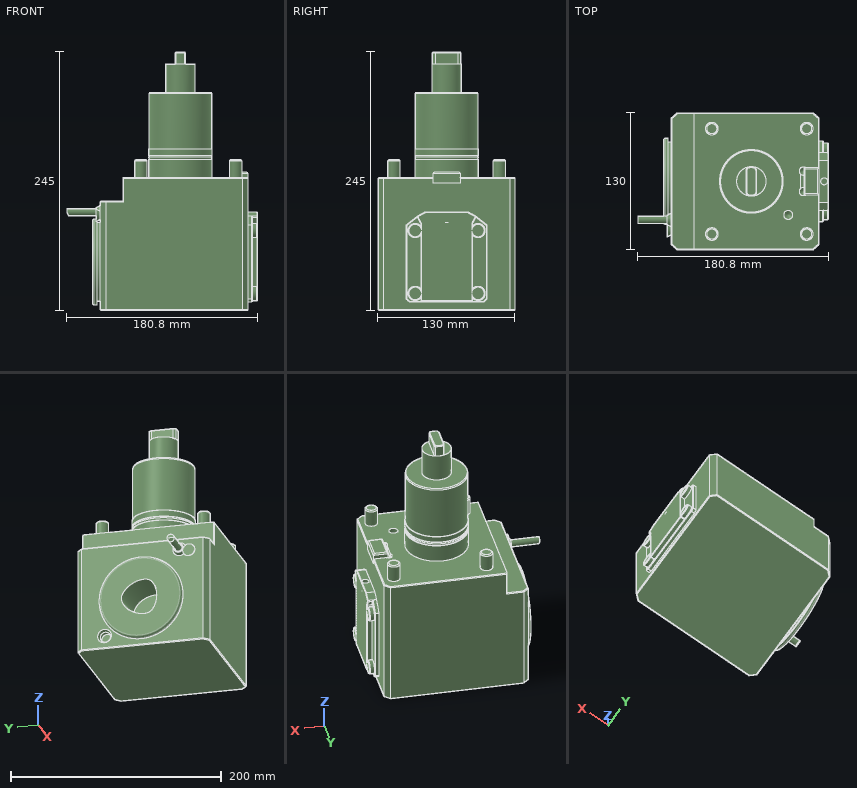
import cadquery as cq
import math


BODY_LEFT = -76.0
BODY_RIGHT = 64.3
BODY_WIDTH = 130.0
BODY_HEIGHT = 126.0
STEP_X = -54.5
STEP_Z = -22.3
CORNER_CHAMFER_X = 5.5
CORNER_CHAMFER_Y = 5.0
EDGE_CHAMFER = 0.8
TOLERANCE = 0.001

COLLAR_DIA = 60.4
COLLAR_TOP = 17.2
SEAL_RELIEF = 0.6
SEAL_CREST = 19.4
SEAL_TOP = 21.0
GUIDE_DIA = 60.4
GUIDE_TOP = 27.3
SHANK_DIA = 59.6
SHANK_TOP = 81.0
SHANK_CHAMFER_HEIGHT = 1.4
SHANK_CHAMFER_WIDTH = 0.6
SHAFT_DIA = 28.0
SHAFT_TOP = 107.8
TANG_WIDTH = 10.0
TANG_LENGTH = 27.6
TANG_FLAT_LENGTH = 21.4
TANG_END_WIDTH = 8.0
TANG_TOP = 119.0
TANG_CHAMFER = 0.8

PIN_DIA = 12.0
PIN_HEIGHT = 17.2
PIN_CHAMFER = 1.2
PIN_CENTER_X = 7.5
PIN_HALF_PITCH_X = 45.0
PIN_HALF_PITCH_Y = 50.0

TOP_HOLE_DIA = 8.5
TOP_HOLE_X = 35.0
TOP_HOLE_Y = -31.9
TOP_HOLE_DEPTH = 10.0
DRILL_POINT_ANGLE = 118.0

KEY_LEFT = 49.8
KEY_RIGHT = 64.2
KEY_WIDTH = 26.0
KEY_HEIGHT = 5.4
KEY_CHAMFER = 1.3
KEY_POCKET_LEFT = 46.4
KEY_POCKET_DEPTH = 5.0
KEY_RELIEF_DIA = 7.9
KEY_RELIEF_X = 49.4
KEY_RELIEF_Y = 9.7

TOOL_AXIS_Z = -80.0
HUB_DIA = 75.0
FLANGE_DIA = 82.0
FLANGE_BACK = -79.0
FLANGE_FACE = -83.3
FLANGE_ROUND = 2.0
BORE_MEAN_RADIUS = 17.4
BORE_LOBE = 1.2
BORE_DEPTH = 40.0
BORE_TAPER = 1 / 30
BORE_POINTS = 48

NOZZLE_Y = -36.6
NOZZLE_Z = -32.8
NOZZLE_BASE_DIA = 13.0
NOZZLE_TIP_DIA = 9.0
HEAD_FACE = -79.8
TUBE_DIA = 7.0
TUBE_END = -107.7
TUBE_BEVEL = 1.8
LOCK_SCREW_Y = -46.8
LOCK_SCREW_Z = -35.8
LOCK_SCREW_DIA = 12.0
LOCK_SCREW_NECK_DIA = 8.0
SINK_HOLE_Y = 37.2
SINK_HOLE_Z = -113.5
SINK_RIM_DIA = 13.5
SINK_BORE_DIA = 10.0
SINK_DEPTH = 3.0
SINK_BORE_DEPTH = 6.0

COVER_THICKNESS = 4.0
COVER_EDGE_CHAMFER = 0.6
COVER_WIDTH = 76.8
COVER_TOP = -36.4
COVER_BOTTOM = -118.0
COVER_TOP_CORNER_Y = 11.0
COVER_TOP_CORNER_Z = 8.6
COVER_BOTTOM_CORNER = 3.0
BLOCK_FACE = 73.1
BLOCK_TOP = -32.4
BLOCK_TOP_WIDTH = 40.0
BLOCK_SHOULDER_WIDTH = 55.0
BLOCK_SHOULDER_Z = -36.4
BLOCK_UNDERCUT_Z = -38.0
BLOCK_WAIST_WIDTH = 49.0
BLOCK_WAIST_Z = -43.5
BLOCK_BOTTOM = -117.0
BLOCK_HOLE_DIA = 6.6
BLOCK_HOLE_X = 69.1
BLOCK_HOLE_DEPTH = 10.0
COVER_SCREW_DIA = 13.5
COVER_SCREW_PITCH = 59.6
COVER_SCREW_CHAMFER = 0.8


def x_disc(start, end, diameter, y, z, end_diameter=None):
    """Round bar or cone along X from start to end."""
    end_diameter = diameter if end_diameter is None else end_diameter
    profile = [(start, 0), (start, diameter / 2), (end, end_diameter / 2), (end, 0)]
    bar = cq.Workplane("XY").polyline(profile).close().revolve(360, (0, 0, 0), (1, 0, 0))
    return bar.translate((0, y, z))


class OuterEdges(cq.Selector):
    """Edges around the top, ledge and underside, and the step uprights; not the step edges along Y."""

    def filter(self, edges):
        return [edge for edge in edges if self.is_rim(edge.Center())]

    def is_rim(self, center):
        on_step = abs(center.x - STEP_X) < TOLERANCE
        if on_step:
            return abs(center.y) > TOLERANCE
        return any(abs(center.z - level) < TOLERANCE for level in (0, STEP_Z, -BODY_HEIGHT))


def make_housing():
    outline = [
        (BODY_LEFT, -BODY_HEIGHT),
        (BODY_LEFT, STEP_Z),
        (STEP_X, STEP_Z),
        (STEP_X, 0),
        (BODY_RIGHT, 0),
        (BODY_RIGHT, -BODY_HEIGHT),
    ]
    half_width = BODY_WIDTH / 2
    stepped = cq.Workplane("XZ").polyline(outline).close().extrude(half_width, both=True)
    plan = cq.Workplane("XY").workplane(offset=-BODY_HEIGHT)
    left_corner = BODY_LEFT + CORNER_CHAMFER_X
    right_corner = BODY_RIGHT - CORNER_CHAMFER_X
    corner_y = half_width - CORNER_CHAMFER_Y
    plan = plan.polyline([
        (left_corner, -half_width),
        (right_corner, -half_width),
        (BODY_RIGHT, -corner_y),
        (BODY_RIGHT, corner_y),
        (right_corner, half_width),
        (left_corner, half_width),
        (BODY_LEFT, corner_y),
        (BODY_LEFT, -corner_y),
    ]).close().extrude(BODY_HEIGHT)
    housing = stepped.intersect(plan)
    return housing.edges(OuterEdges()).chamfer(EDGE_CHAMFER)


def make_spindle():
    collar_r = COLLAR_DIA / 2
    guide_r = GUIDE_DIA / 2
    shank_r = SHANK_DIA / 2
    seal_r = guide_r - SEAL_RELIEF
    return (
        cq.Workplane("XZ")
        .moveTo(0, 0)
        .lineTo(collar_r, 0)
        .lineTo(collar_r, COLLAR_TOP)
        .lineTo(seal_r, COLLAR_TOP)
        .lineTo(guide_r, SEAL_CREST)
        .lineTo(seal_r, SEAL_TOP)
        .lineTo(guide_r, SEAL_TOP)
        .lineTo(guide_r, GUIDE_TOP)
        .lineTo(shank_r, GUIDE_TOP)
        .lineTo(shank_r, SHANK_TOP - SHANK_CHAMFER_HEIGHT)
        .lineTo(shank_r - SHANK_CHAMFER_WIDTH, SHANK_TOP)
        .lineTo(SHAFT_DIA / 2, SHANK_TOP)
        .lineTo(SHAFT_DIA / 2, SHAFT_TOP)
        .lineTo(0, SHAFT_TOP)
        .close()
        .revolve(360, (0, 0, 0), (0, 1, 0))
    )


def make_tang():
    """Drive tang with bevelled corners and ends rounded about the spindle axis."""
    side = TANG_WIDTH / 2
    flat_end = TANG_FLAT_LENGTH / 2
    end_side = TANG_END_WIDTH / 2
    crown = TANG_LENGTH / 2
    round_start = math.sqrt(crown**2 - end_side**2)
    tang = (
        cq.Workplane("XY")
        .workplane(offset=SHAFT_TOP)
        .moveTo(side, -flat_end)
        .lineTo(side, flat_end)
        .lineTo(end_side, round_start)
        .threePointArc((0, crown), (-end_side, round_start))
        .lineTo(-side, flat_end)
        .lineTo(-side, -flat_end)
        .lineTo(-end_side, -round_start)
        .threePointArc((0, -crown), (end_side, -round_start))
        .close()
        .extrude(TANG_TOP - SHAFT_TOP)
    )
    return tang.faces(">Z").chamfer(TANG_CHAMFER)


def make_pins():
    pins = (
        cq.Workplane("XY")
        .center(PIN_CENTER_X, 0)
        .rect(2 * PIN_HALF_PITCH_X, 2 * PIN_HALF_PITCH_Y, forConstruction=True)
        .vertices()
        .circle(PIN_DIA / 2)
        .extrude(PIN_HEIGHT)
    )
    return pins.faces(">Z").chamfer(PIN_CHAMFER)


def drill(diameter, depth, x, y):
    """Blind drilled hole in the top face with a conical bottom."""
    radius = diameter / 2
    tip = radius / math.tan(math.radians(DRILL_POINT_ANGLE / 2))
    profile = [(0, 0), (radius, 0), (radius, -depth), (0, -depth - tip)]
    cutter = cq.Workplane("XZ").polyline(profile).close().revolve(360, (0, 0, 0), (0, 1, 0))
    return cutter.translate((x, y, 0))


def cut_key_pocket(body):
    length = BODY_RIGHT - KEY_POCKET_LEFT
    pocket = cq.Workplane("XY").box(length, KEY_WIDTH, KEY_POCKET_DEPTH, centered=(False, True, False))
    body = body.cut(pocket.translate((KEY_POCKET_LEFT, 0, -KEY_POCKET_DEPTH)))
    for side in (-1, 1):
        body = body.cut(drill(KEY_RELIEF_DIA, KEY_POCKET_DEPTH, KEY_RELIEF_X, side * KEY_RELIEF_Y))
    return body


def make_key():
    height = KEY_POCKET_DEPTH + KEY_HEIGHT
    key = cq.Workplane("XY").box(KEY_RIGHT - KEY_LEFT, KEY_WIDTH, height, centered=(False, True, False))
    key = key.faces(">Z").chamfer(KEY_CHAMFER)
    return key.translate((KEY_LEFT, 0, -KEY_POCKET_DEPTH))


def bore_section(x, mean_radius):
    """Constant-width three-lobed outline in the plane at x, one lobe toward +Y."""
    points = []
    for i in range(BORE_POINTS):
        angle = 2 * math.pi * i / BORE_POINTS
        reach = mean_radius + BORE_LOBE * math.cos(3 * angle)
        turn = 3 * BORE_LOBE * math.sin(3 * angle)
        y = reach * math.cos(angle) + turn * math.sin(angle)
        z = reach * math.sin(angle) - turn * math.cos(angle)
        points.append(cq.Vector(x, y, TOOL_AXIS_Z + z))
    return cq.Wire.assembleEdges([cq.Edge.makeSpline(points, periodic=True)])


def make_bore():
    mouth = bore_section(FLANGE_FACE, BORE_MEAN_RADIUS)
    end = bore_section(FLANGE_FACE + BORE_DEPTH, BORE_MEAN_RADIUS - BORE_DEPTH * BORE_TAPER)
    return cq.Workplane(cq.Solid.makeLoft([mouth, end]))


def make_flange():
    hub = x_disc(FLANGE_BACK, BODY_LEFT, HUB_DIA, 0, TOOL_AXIS_Z)
    disc = x_disc(FLANGE_FACE, FLANGE_BACK, FLANGE_DIA, 0, TOOL_AXIS_Z)
    return hub.union(disc.faces("<X").edges().fillet(FLANGE_ROUND))


def make_coolant_tube():
    tube = x_disc(TUBE_END, HEAD_FACE, TUBE_DIA, NOZZLE_Y, NOZZLE_Z)
    radius = TUBE_DIA / 2
    bevel = (
        cq.Workplane("XZ")
        .polyline([(TUBE_END, 0), (TUBE_END, -radius), (TUBE_END + TUBE_BEVEL, -radius)])
        .close()
        .extrude(radius, both=True)
        .translate((0, NOZZLE_Y, NOZZLE_Z))
    )
    base = x_disc(HEAD_FACE, BODY_LEFT, NOZZLE_TIP_DIA, NOZZLE_Y, NOZZLE_Z, NOZZLE_BASE_DIA)
    return tube.cut(bevel).union(base)


def make_lock_screw():
    return x_disc(HEAD_FACE, BODY_LEFT, LOCK_SCREW_DIA, LOCK_SCREW_Y, LOCK_SCREW_Z, LOCK_SCREW_NECK_DIA)


def make_sink_hole():
    floor = BODY_LEFT + SINK_DEPTH
    cone = x_disc(BODY_LEFT, floor, SINK_RIM_DIA, SINK_HOLE_Y, SINK_HOLE_Z, SINK_BORE_DIA)
    bore = x_disc(floor, floor + SINK_BORE_DEPTH, SINK_BORE_DIA, SINK_HOLE_Y, SINK_HOLE_Z)
    return cone.union(bore)


def mirrored_plate(right_half, start, end):
    """Plate along X whose outline is right_half, (y, z) points, and its mirror image in Y."""
    outline = right_half + [(-y, z) for y, z in reversed(right_half)]
    return cq.Workplane("YZ").workplane(offset=start).polyline(outline).close().extrude(end - start)


def make_cover():
    half_width = COVER_WIDTH / 2
    cover_face = BODY_RIGHT + COVER_THICKNESS
    plate = mirrored_plate([
        (half_width - COVER_TOP_CORNER_Y, COVER_TOP),
        (half_width, COVER_TOP - COVER_TOP_CORNER_Z),
        (half_width, COVER_BOTTOM + COVER_BOTTOM_CORNER),
        (half_width - COVER_BOTTOM_CORNER, COVER_BOTTOM),
    ], BODY_RIGHT, cover_face)
    block = mirrored_plate([
        (BLOCK_TOP_WIDTH / 2, BLOCK_TOP),
        (BLOCK_SHOULDER_WIDTH / 2, BLOCK_SHOULDER_Z),
        (BLOCK_SHOULDER_WIDTH / 2, BLOCK_UNDERCUT_Z),
        (BLOCK_WAIST_WIDTH / 2, BLOCK_WAIST_Z),
        (BLOCK_WAIST_WIDTH / 2, BLOCK_BOTTOM),
    ], BODY_RIGHT, BLOCK_FACE)
    plate = plate.faces(">X").chamfer(COVER_EDGE_CHAMFER)
    block = block.faces(">X").chamfer(COVER_EDGE_CHAMFER)
    hole = cq.Workplane("XY").circle(BLOCK_HOLE_DIA / 2).extrude(-BLOCK_HOLE_DEPTH)
    cover = plate.union(block).cut(hole.translate((BLOCK_HOLE_X, 0, BLOCK_TOP)))
    for y_side in (-1, 1):
        for z_side in (-1, 1):
            y = y_side * COVER_SCREW_PITCH / 2
            z = TOOL_AXIS_Z + z_side * COVER_SCREW_PITCH / 2
            screw = x_disc(cover_face, BLOCK_FACE, COVER_SCREW_DIA, y, z)
            cover = cover.union(screw.faces(">X").chamfer(COVER_SCREW_CHAMFER))
    return cover


body = make_housing()
body = body.cut(drill(TOP_HOLE_DIA, TOP_HOLE_DEPTH, TOP_HOLE_X, TOP_HOLE_Y))
body = cut_key_pocket(body).union(make_key())
body = body.union(make_spindle()).union(make_tang()).union(make_pins())
body = body.union(make_flange()).cut(make_bore()).cut(make_sink_hole())
body = body.union(make_coolant_tube()).union(make_lock_screw())
result = body.union(make_cover())